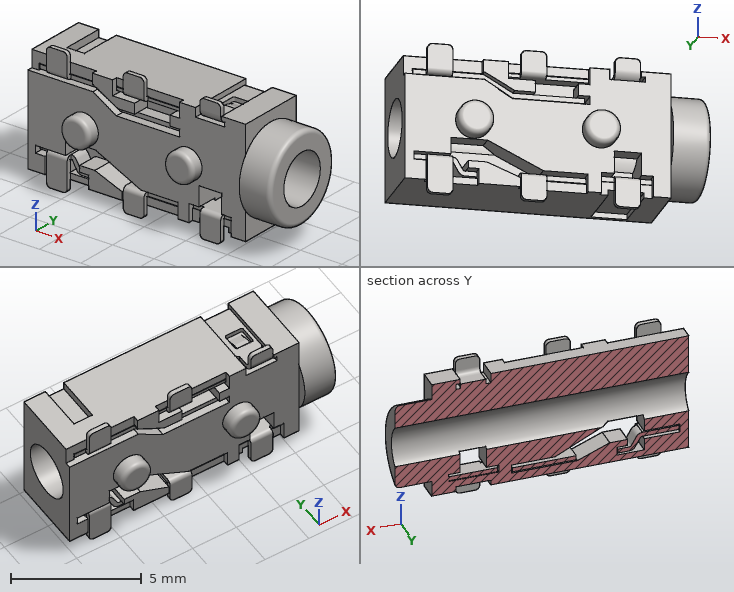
import cadquery as cq
import math


TOTAL_LENGTH = 12.0
BODY_LENGTH = 10.5
BODY_DEPTH = 3.2
BODY_HEIGHT = 5.0
BORE_DIAMETER = 2.3
COLLAR_DIAMETER = 4.0
COLLAR_ROUND = 0.2
COLLAR_RIM_X = 11.18

PEG_DIAMETER = 1.4
PEG_LENGTH = 0.6
PEG_ROUND = 0.2
PEG_XS = (2.7, 7.7)

HALF_HEIGHT = BODY_HEIGHT / 2
FRONT_Y = -BODY_DEPTH / 2
BACK_Y = BODY_DEPTH / 2

METAL = 0.2
CLEARANCE = 0.03
TAB_WIDTH = 1.0
TAB_TIP_Z = 3.0
TAB_CORNER = 0.2
TAB_XS = (1.4, 5.1, 8.8)
UPPER_TAB_ROOTS = (1.80, 1.96)
LOWER_TAB_ROOTS = (1.42, 1.90, 1.76)
S_STRIP_LOW_Z = -2.06
S_STRIP_BEND_X = 1.89
S_STRIP_BEND_RADIUS = 0.2
S_STRIP_BEND_ANGLE = 60

RECESS_DEPTH = 0.25
UPPER_SLOT_DEPTH = 0.8
LOWER_POCKET_DEPTH = 1.0
FINGER_POCKET_DEPTH = 1.45
RECESS_Y = FRONT_Y + RECESS_DEPTH
UPPER_FLOOR_Y = FRONT_Y + UPPER_SLOT_DEPTH
LOWER_FLOOR_Y = FRONT_Y + LOWER_POCKET_DEPTH
FINGER_FLOOR_Y = FRONT_Y + FINGER_POCKET_DEPTH

LONG_SLOT_LEFT = 0.36
LONG_SLOT_TOP_REAR = 2.01
LONG_SLOT_TOP_FRONT = 1.35
LONG_SLOT_BOTTOM_REAR = 1.715
LONG_SLOT_BOTTOM_FRONT = 1.02
CRANK_START_X = 3.14
CRANK_END_TOP_X = 4.34
CRANK_END_BOTTOM_X = 4.27
REAR_RECESS_RIGHT = 3.11
WINDOW_LEFT = 4.09
WINDOW_RIGHT = 7.31
WINDOW_BOTTOM = 1.82
THROAT_LEFT = 5.15
THROAT_RIGHT = 6.85
SHORT_SLOT_TOP = 2.13
SHORT_STRIP_THICKNESS = 0.14
LONG_STRIP_LEFT = LONG_SLOT_LEFT + CLEARANCE
LONG_STRIP_RIGHT = 7.15

SLIT_LEFT = 0.36
SLIT_TOP = -1.39
SLIT_BOTTOM = -1.72
REAR_TAB_GAP_LEFT = 0.84
POCKET_LEFT = 1.82
POCKET_TOP = -0.73
POCKET_SLOPE_START_X = 3.26
POCKET_SLOPE_END_X = 5.46
POCKET_RIGHT = 7.23
POCKET_FRONT_TOP = -1.79
ISLAND_LEFT = 2.50
ISLAND_TOP = -1.61
ISLAND_SLOPE_X = 3.23
ISLAND_RIGHT = 4.55
ISLAND_RIGHT_TOP = -2.13
REAR_GAP_RIGHT = 2.93
REAR_GAP_TOP = -1.90
REAR_POCKET_BOTTOM = -2.22

FINGER_LEFT = 8.26
FINGER_RIGHT = 9.34
FINGER_TOP = -0.78
NOTCH_LEFT = 7.76
NOTCH_RIGHT = 9.80
NOTCH_TOP = -1.68
NOTCH_DEEP_BOTTOM = -1.97

CHANNEL_LEFT = 8.08
CHANNEL_RIGHT = 9.34
CHANNEL_FLOOR = 2.09
UNDERCUT_RIGHT = 9.49
UNDERCUT_TOP = 2.29
UNDERCUT_BACK_Y = BACK_Y - METAL
PLATE_LEFT = 8.12
PLATE_NECK_Y = -0.80
PLATE_NECK_CHAMFER = 0.17
PLATE_BACK_ROUND = 0.19
PLATE_BEND_INNER = 0.2
PLATE_BOTTOM = CHANNEL_FLOOR
PLATE_TOP = PLATE_BOTTOM + METAL
HATCH_SIZE = 0.8
HATCH_CORNER = 0.08
LATCH_LEFT = 8.49
LATCH_RIGHT = 9.08
LATCH_FRONT_Y = -0.33
LATCH_CREST_Y = -0.15
LATCH_BACK_Y = 0.25
LATCH_HEIGHT = 0.12

KEY_LEFT = 0.98
KEY_RIGHT = 1.82
KEY_FRONT_Y = -0.41
KEY_DEPTH = 0.35


def block(x0, x1, y0, y1, z0, z1):
    """Axis-aligned box between opposite corners."""
    return cq.Workplane("XY").box(x1 - x0, y1 - y0, z1 - z0, centered=False).translate((x0, y0, z0))


def prism_xz(points, y0, y1):
    """Outline in X and Z, filled from y0 back to y1."""
    return cq.Workplane("XZ", origin=(0, y1, 0)).polyline(points).close().extrude(y1 - y0)


def prism_yz(points, x0, x1):
    """Outline in Y and Z, filled from x0 to x1."""
    return cq.Workplane("YZ", origin=(x0, 0, 0)).polyline(points).close().extrude(x1 - x0)


def make_housing():
    body = block(0, BODY_LENGTH, FRONT_Y, BACK_Y, -HALF_HEIGHT, HALF_HEIGHT)
    collar = (
        cq.Workplane("YZ", origin=(BODY_LENGTH, 0, 0))
        .circle(COLLAR_DIAMETER / 2)
        .extrude(TOTAL_LENGTH - BODY_LENGTH)
        .faces(">X").edges().fillet(COLLAR_ROUND)
    )
    collar_radius = COLLAR_DIAMETER / 2
    flat = block(BODY_LENGTH, COLLAR_RIM_X, BACK_Y, collar_radius, -collar_radius, collar_radius)
    bore = cq.Workplane("YZ").circle(BORE_DIAMETER / 2).extrude(TOTAL_LENGTH)
    return body.union(collar.cut(flat)).cut(bore)


def make_peg(x):
    return (
        cq.Workplane("XZ", origin=(x, FRONT_Y, 0))
        .circle(PEG_DIAMETER / 2)
        .extrude(PEG_LENGTH)
        .faces("<Y").edges().fillet(PEG_ROUND)
    )


def cut_upper_cavity(part):
    rear_recess = block(0, REAR_RECESS_RIGHT, FRONT_Y, RECESS_Y, LONG_SLOT_BOTTOM_REAR, HALF_HEIGHT)
    window = block(WINDOW_LEFT, WINDOW_RIGHT, FRONT_Y, RECESS_Y, WINDOW_BOTTOM, HALF_HEIGHT)
    short_slot = block(
        WINDOW_LEFT, WINDOW_RIGHT, FRONT_Y, UPPER_FLOOR_Y, WINDOW_BOTTOM, SHORT_SLOT_TOP
    )
    throat = block(
        THROAT_LEFT, THROAT_RIGHT, FRONT_Y, UPPER_FLOOR_Y, LONG_SLOT_BOTTOM_FRONT, WINDOW_BOTTOM
    )
    long_slot = prism_xz(
        [
            (LONG_SLOT_LEFT, LONG_SLOT_TOP_REAR),
            (CRANK_START_X, LONG_SLOT_TOP_REAR),
            (CRANK_END_TOP_X, LONG_SLOT_TOP_FRONT),
            (WINDOW_RIGHT, LONG_SLOT_TOP_FRONT),
            (WINDOW_RIGHT, LONG_SLOT_BOTTOM_FRONT),
            (CRANK_END_BOTTOM_X, LONG_SLOT_BOTTOM_FRONT),
            (CRANK_START_X, LONG_SLOT_BOTTOM_REAR),
            (LONG_SLOT_LEFT, LONG_SLOT_BOTTOM_REAR),
        ],
        FRONT_Y,
        UPPER_FLOOR_Y,
    )
    for cavity in (rear_recess, window, short_slot, throat, long_slot):
        part = part.cut(cavity)
    return part


def cut_lower_cavity(part):
    deep_outline = [
        (POCKET_LEFT, POCKET_TOP),
        (POCKET_SLOPE_START_X, POCKET_TOP),
        (POCKET_SLOPE_END_X, POCKET_FRONT_TOP),
        (POCKET_RIGHT, POCKET_FRONT_TOP),
        (POCKET_RIGHT, ISLAND_RIGHT_TOP),
        (ISLAND_RIGHT, ISLAND_RIGHT_TOP),
        (ISLAND_SLOPE_X, ISLAND_TOP),
        (ISLAND_LEFT, ISLAND_TOP),
        (ISLAND_LEFT, REAR_GAP_TOP),
        (REAR_GAP_RIGHT, REAR_GAP_TOP),
        (REAR_GAP_RIGHT, REAR_POCKET_BOTTOM),
        (POCKET_LEFT, REAR_POCKET_BOTTOM),
        (POCKET_LEFT, SLIT_BOTTOM),
        (SLIT_LEFT, SLIT_BOTTOM),
        (SLIT_LEFT, SLIT_TOP),
        (POCKET_LEFT, SLIT_TOP),
    ]
    pocket = prism_xz(deep_outline, FRONT_Y, LOWER_FLOOR_Y)
    rear_recess = block(
        REAR_TAB_GAP_LEFT, REAR_GAP_RIGHT, FRONT_Y, RECESS_Y, -HALF_HEIGHT, REAR_GAP_TOP
    )
    rear_tab_gap = block(
        REAR_TAB_GAP_LEFT, ISLAND_LEFT, FRONT_Y, RECESS_Y, REAR_GAP_TOP, SLIT_BOTTOM
    )
    front_recess = block(
        ISLAND_RIGHT, POCKET_RIGHT, FRONT_Y, RECESS_Y, -HALF_HEIGHT, ISLAND_RIGHT_TOP
    )
    for cavity in (pocket, rear_recess, rear_tab_gap, front_recess):
        part = part.cut(cavity)
    return part


def cut_finger_cavity(part):
    finger = block(
        FINGER_LEFT, FINGER_RIGHT, FRONT_Y, FINGER_FLOOR_Y, NOTCH_DEEP_BOTTOM, FINGER_TOP
    )
    deep_notch = block(NOTCH_LEFT, NOTCH_RIGHT, FRONT_Y, LOWER_FLOOR_Y, NOTCH_DEEP_BOTTOM, NOTCH_TOP)
    recess = block(NOTCH_LEFT, NOTCH_RIGHT, FRONT_Y, RECESS_Y, -HALF_HEIGHT, NOTCH_DEEP_BOTTOM)
    for cavity in (finger, deep_notch, recess):
        part = part.cut(cavity)
    return part


def cut_channels(part):
    channel = block(CHANNEL_LEFT, CHANNEL_RIGHT, FRONT_Y, BACK_Y, UNDERCUT_TOP, HALF_HEIGHT)
    undercut = block(
        CHANNEL_LEFT, UNDERCUT_RIGHT, FRONT_Y, UNDERCUT_BACK_Y, CHANNEL_FLOOR, UNDERCUT_TOP
    )
    bottom = block(
        CHANNEL_LEFT, UNDERCUT_RIGHT, FRONT_Y, UNDERCUT_BACK_Y, -HALF_HEIGHT, -UNDERCUT_TOP
    )
    back_corner = block(
        CHANNEL_LEFT, CHANNEL_RIGHT, UNDERCUT_BACK_Y, BACK_Y, CHANNEL_FLOOR, UNDERCUT_TOP
    ).cut(make_plate())
    keyway = block(KEY_LEFT, KEY_RIGHT, KEY_FRONT_Y, BACK_Y, HALF_HEIGHT - KEY_DEPTH, HALF_HEIGHT)
    for cavity in (channel, undercut, bottom, back_corner, keyway):
        part = part.cut(cavity)
    return part


def make_tab(x, root_z, leg_end_y, inner_radius):
    """Solder tab standing along the board face, bent back into the housing at root_z."""
    outer_radius = inner_radius + METAL
    inner_face_y = FRONT_Y + METAL
    profile = (
        cq.Workplane("YZ", origin=(x - TAB_WIDTH / 2, 0, 0))
        .moveTo(FRONT_Y, TAB_TIP_Z)
        .lineTo(FRONT_Y, root_z + outer_radius)
        .radiusArc((FRONT_Y + outer_radius, root_z), -outer_radius)
        .lineTo(leg_end_y, root_z)
        .lineTo(leg_end_y, root_z + METAL)
        .lineTo(inner_face_y + inner_radius, root_z + METAL)
    )
    if inner_radius > 0:
        profile = profile.radiusArc((inner_face_y, root_z + outer_radius), inner_radius)
    tab = profile.lineTo(inner_face_y, TAB_TIP_Z).close().extrude(TAB_WIDTH)
    return tab.faces(">Z").edges("|Y").fillet(TAB_CORNER)


def make_strip(path, start, floor_y):
    """Contact strip standing on edge in its slot, following a path in X and Z."""
    depth = floor_y - RECESS_Y
    return (
        cq.Workplane("YZ", origin=(start[0], RECESS_Y + depth / 2, start[1]))
        .rect(depth, METAL)
        .sweep(path, transition="right")
    )


def straight_strip(x0, x1, z, floor_y, thickness=METAL):
    return block(x0, x1, RECESS_Y, floor_y, z, z + thickness)


def make_long_strip():
    rear_z = UPPER_TAB_ROOTS[0] + METAL / 2 - CLEARANCE / 2
    front_z = LONG_SLOT_TOP_FRONT - CLEARANCE - METAL / 2
    crank_end_x = (CRANK_END_TOP_X + CRANK_END_BOTTOM_X) / 2
    start = (LONG_STRIP_LEFT, rear_z)
    path = cq.Workplane("XZ").polyline(
        [start, (CRANK_START_X, rear_z), (crank_end_x, front_z), (LONG_STRIP_RIGHT, front_z)]
    )
    return make_strip(path, start, UPPER_FLOOR_Y)


def make_s_strip():
    bend_radius = S_STRIP_BEND_RADIUS
    bend_angle = math.radians(S_STRIP_BEND_ANGLE)
    upper_z = -LOWER_TAB_ROOTS[0] - METAL / 2
    lower_z = S_STRIP_LOW_Z
    bend_dx = bend_radius * math.sin(bend_angle)
    bend_dz = bend_radius * (1 - math.cos(bend_angle))
    slope_dz = upper_z - lower_z - 2 * bend_dz
    slope_dx = slope_dz / math.tan(bend_angle)
    slope_start_x = S_STRIP_BEND_X + bend_dx
    slope_end_x = slope_start_x + slope_dx
    start = (SLIT_LEFT + CLEARANCE, upper_z)
    path = (
        cq.Workplane("XZ")
        .moveTo(*start)
        .lineTo(S_STRIP_BEND_X, upper_z)
        .radiusArc((slope_start_x, upper_z - bend_dz), bend_radius)
        .lineTo(slope_end_x, lower_z + bend_dz)
        .radiusArc((slope_end_x + bend_dx, lower_z), -bend_radius)
        .lineTo(REAR_GAP_RIGHT - CLEARANCE, lower_z)
    )
    return make_strip(path, start, LOWER_FLOOR_Y)


def make_strips():
    short_upper = straight_strip(
        WINDOW_LEFT, WINDOW_RIGHT, UPPER_TAB_ROOTS[1], UPPER_FLOOR_Y, SHORT_STRIP_THICKNESS
    )
    middle_lower = straight_strip(
        TAB_XS[1], POCKET_RIGHT - CLEARANCE, -LOWER_TAB_ROOTS[1] - METAL, LOWER_FLOOR_Y
    )
    front_lower = straight_strip(
        NOTCH_LEFT + CLEARANCE, NOTCH_RIGHT, -LOWER_TAB_ROOTS[2] - METAL, LOWER_FLOOR_Y
    )
    return [make_long_strip(), make_s_strip(), short_upper, middle_lower, front_lower]


def make_tabs():
    tabs = [make_tab(x, z, UPPER_FLOOR_Y, 0) for x, z in zip(TAB_XS, UPPER_TAB_ROOTS)]
    tabs.append(make_tab(TAB_XS[2], PLATE_BOTTOM, PLATE_NECK_Y, PLATE_BEND_INNER))
    lower_leg_ends = (LOWER_FLOOR_Y, LOWER_FLOOR_Y, FINGER_FLOOR_Y)
    for x, z, leg_end_y in zip(TAB_XS, LOWER_TAB_ROOTS, lower_leg_ends):
        tabs.append(make_tab(x, z, leg_end_y, 0).mirror("XY"))
    return tabs


def make_plate():
    """Sleeve contact lying in the top channel, with a hatch for the housing latch."""
    neck_left = TAB_XS[2] - TAB_WIDTH / 2
    plate = block(PLATE_LEFT, CHANNEL_RIGHT, PLATE_NECK_Y, BACK_Y, PLATE_BOTTOM, PLATE_TOP)
    plate = plate.faces(">Y").edges(">Z").fillet(PLATE_BACK_ROUND)
    chamfer = (
        cq.Workplane("XY", origin=(0, 0, PLATE_BOTTOM))
        .moveTo(PLATE_LEFT, PLATE_NECK_Y)
        .lineTo(neck_left, PLATE_NECK_Y)
        .lineTo(PLATE_LEFT, PLATE_NECK_Y + PLATE_NECK_CHAMFER)
        .close()
        .extrude(METAL)
    )
    hatch = (
        cq.Workplane("XY", origin=(TAB_XS[2], 0, PLATE_BOTTOM))
        .rect(HATCH_SIZE, HATCH_SIZE)
        .extrude(METAL)
        .edges("|Z").fillet(HATCH_CORNER)
    )
    crest_z = CHANNEL_FLOOR + LATCH_HEIGHT
    latch = prism_yz(
        [
            (LATCH_FRONT_Y, CHANNEL_FLOOR),
            (LATCH_FRONT_Y, crest_z),
            (LATCH_CREST_Y, crest_z),
            (LATCH_BACK_Y, CHANNEL_FLOOR),
        ],
        LATCH_LEFT,
        LATCH_RIGHT,
    )
    return plate.cut(chamfer).cut(hatch).union(latch)


result = make_housing()
result = cut_upper_cavity(result)
result = cut_lower_cavity(result)
result = cut_finger_cavity(result)
result = cut_channels(result)

for peg_x in PEG_XS:
    result = result.union(make_peg(peg_x))
for metal_piece in make_strips() + make_tabs() + [make_plate()]:
    result = result.union(metal_piece)